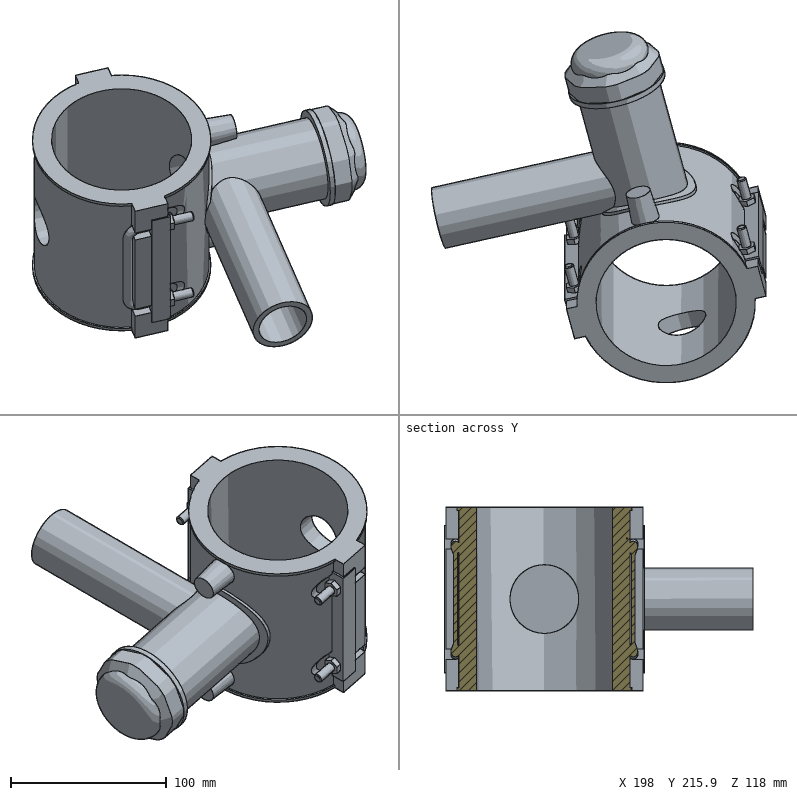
import cadquery as cq
import math


HEIGHT = 118.0
BODY_RADIUS = 56.1
BORE_RADIUS = 45.0
RIM_RADIUS = 57.2
RIM_HEIGHT = 2.2

EAR_REACH = 63.3
EAR_DEPTH = 11.0
PLATE_REACH = 64.1
PLATE_DEPTH = 12.3
PLATE_HEIGHT = 94.5

BOLT_X = 57.0
BOLT_Z = 35.5
BOLT_DIAMETER = 6.0
BOLT_RADIUS = BOLT_DIAMETER / 2
BOLT_TIP_Y = 29.8
BOLT_TIP_CHAMFER = 0.6
BOLT_BEND_RADIUS = 7.5
BOLT_BACK_Y = -(EAR_DEPTH + BOLT_RADIUS)
NUT_ACROSS_FLATS = 10.0
NUT_THICKNESS = 3.7
SLOT_WIDTH = 6.5

RECESS_X = 60.9
RECESS_RADIUS = 11.5
RECESS_FLOOR_RADIUS = 54.0
RECESS_TOP_Y = 32.4

BRANCH_DIAMETER = 53.5
BRANCH_BORE = 44.0
COLLAR_DIAMETER = 63.0
COLLAR_OUTER_RADIUS = 58.0
WALL_HOLE = 31.3

OUTLET_DIAMETER = 40.0
OUTLET_BORE = 32.0
OUTLET_Y = 65.9
OUTLET_END_X = 133.9

CAP_FLANGE_DIAMETER = 63.0
CAP_START_Y = 130.5
CAP_FLANGE_TOP_Y = 133.9
CAP_GRIP_TOP_Y = 145.3
CAP_TOP_Y = 158.7
CAP_GRIP_DIAMETER = 62.2
CAP_FLAT_COUNT = 8
CAP_FLAT_DISTANCE = 30.0
CAP_FLAT_TAPER = 46.5
CAP_CORNER_TAPER = 45.0
CAP_TAPER_HEIGHT = 6.5
DOME_RADIUS = 25.5
DOME_FILLET = 8.5

PEG_Z = 47.0
PEG_TIP_Y = 75.1
PEG_TIP_DIAMETER = 15.8
PEG_BASE_DIAMETER = 18.1
PEG_ROOT_Y = (BORE_RADIUS + BODY_RADIUS) / 2


def rod_y(diameter, y_start, y_end, x=0.0, z=0.0):
    """Cylinder along +Y."""
    plane = cq.Workplane("XZ", origin=(x, y_start, z))
    return plane.circle(diameter / 2).extrude(y_start - y_end)


def rod_z(radius, height):
    """Cylinder along Z, centred on the clamp axis."""
    return cq.Workplane("XY").circle(radius).extrude(height / 2, both=True)


def clamp_body():
    """Solid body with end rims, full-height ears and a plate over the front ears."""
    body = rod_z(BODY_RADIUS, HEIGHT)
    rim_z = (HEIGHT - RIM_HEIGHT) / 2
    for z in (-rim_z, rim_z):
        body = body.union(rod_z(RIM_RADIUS, RIM_HEIGHT).translate((0, 0, z)))
    body = body.union(cq.Workplane("XY").box(2 * EAR_REACH, 2 * EAR_DEPTH, HEIGHT))
    plate = cq.Workplane("XY").box(2 * PLATE_REACH, PLATE_DEPTH, PLATE_HEIGHT)
    return body.union(plate.translate((0, PLATE_DEPTH / 2, 0)))


def bolt_slot(side, z):
    """Slot through the rear ear, open to the outside and rounded around the bolt."""
    length = EAR_REACH - BOLT_X
    channel = cq.Workplane("XY").box(length, EAR_DEPTH, SLOT_WIDTH)
    channel = channel.translate((side * (BOLT_X + length / 2), -EAR_DEPTH / 2, z))
    return channel.union(rod_y(SLOT_WIDTH, -EAR_DEPTH, 0, side * BOLT_X, z))


def nut_recess(side, z):
    """Round pocket with a floor concentric with the bore."""
    pocket = rod_y(2 * RECESS_RADIUS, PLATE_DEPTH, RECESS_TOP_Y, side * RECESS_X, z)
    return pocket.cut(rod_z(RECESS_FLOOR_RADIUS, HEIGHT))


def u_bolt(side):
    """Two straight legs along Y joined by a straight back along Z."""
    bend_y = BOLT_BACK_Y + BOLT_BEND_RADIUS
    bend_z = BOLT_Z - BOLT_BEND_RADIUS
    offset = BOLT_BEND_RADIUS * math.sqrt(0.5)
    path = (
        cq.Workplane("YZ", origin=(side * BOLT_X, 0, 0))
        .moveTo(BOLT_TIP_Y, BOLT_Z)
        .lineTo(bend_y, BOLT_Z)
        .threePointArc((bend_y - offset, bend_z + offset), (BOLT_BACK_Y, bend_z))
        .lineTo(BOLT_BACK_Y, -bend_z)
        .threePointArc((bend_y - offset, -bend_z - offset), (bend_y, -BOLT_Z))
        .lineTo(BOLT_TIP_Y, -BOLT_Z)
    )
    profile = cq.Workplane("XZ", origin=(side * BOLT_X, BOLT_TIP_Y, BOLT_Z)).circle(BOLT_RADIUS)
    return profile.sweep(path).faces(">Y").chamfer(BOLT_TIP_CHAMFER)


def nut(side, z):
    """Hexagonal nut with two flats facing along X."""
    across_corners = NUT_ACROSS_FLATS / math.cos(math.pi / 6)
    plane = cq.Workplane("XZ", origin=(side * BOLT_X, PLATE_DEPTH, z))
    hexagon = plane.transformed(rotate=(0, 0, 90)).polygon(6, across_corners)
    return hexagon.extrude(-NUT_THICKNESS)


def branch():
    """Solid branch pipe with a thin collar that follows the body."""
    pipe = rod_y(BRANCH_DIAMETER, 0, CAP_START_Y)
    collar = rod_y(COLLAR_DIAMETER, 0, COLLAR_OUTER_RADIUS)
    return pipe.union(collar.intersect(rod_z(COLLAR_OUTER_RADIUS, HEIGHT)))


def outlet(diameter):
    """Cylinder along X from the branch axis to the outlet end."""
    return cq.Workplane("YZ", origin=(0, OUTLET_Y, 0)).circle(diameter / 2).extrude(OUTLET_END_X)


def peg(z):
    """Cone along +Y, rooted inside the body wall."""
    length = PEG_TIP_Y - BODY_RADIUS
    taper = math.degrees(math.atan((PEG_BASE_DIAMETER - PEG_TIP_DIAMETER) / 2 / length))
    plane = cq.Workplane("XZ", origin=(0, PEG_TIP_Y, z))
    return plane.circle(PEG_TIP_DIAMETER / 2).extrude(PEG_TIP_Y - PEG_ROOT_Y, taper=-taper)


def cap():
    """Flange, eight-sided grip with rounded corners, tapered shoulder and domed top."""
    flange = rod_y(CAP_FLANGE_DIAMETER, CAP_START_Y, CAP_FLANGE_TOP_Y)
    half_side = math.pi / CAP_FLAT_COUNT
    corner_diameter = 2 * CAP_FLAT_DISTANCE / math.cos(half_side)

    def grip_part(y, height, flat_taper=0, corner_taper=0):
        plane = cq.Workplane("XY")
        prism = plane.polygon(CAP_FLAT_COUNT, corner_diameter).extrude(height, taper=flat_taper)
        cylinder = plane.circle(CAP_GRIP_DIAMETER / 2).extrude(height, taper=corner_taper)
        return prism.intersect(cylinder).rotate((0, 0, 0), (1, 0, 0), -90).translate((0, y, 0))

    grip = grip_part(CAP_FLANGE_TOP_Y, CAP_GRIP_TOP_Y - CAP_FLANGE_TOP_Y)
    shoulder = grip_part(CAP_GRIP_TOP_Y, CAP_TAPER_HEIGHT, CAP_FLAT_TAPER, CAP_CORNER_TAPER)
    dome = rod_y(2 * DOME_RADIUS, CAP_FLANGE_TOP_Y, CAP_TOP_Y).faces(">Y").edges().fillet(DOME_FILLET)
    return flange.union(grip).union(shoulder).union(dome)


result = clamp_body().union(branch()).union(outlet(OUTLET_DIAMETER))
for peg_z in (-PEG_Z, PEG_Z):
    result = result.union(peg(peg_z))
for side in (-1, 1):
    for bolt_z in (-BOLT_Z, BOLT_Z):
        result = result.cut(bolt_slot(side, bolt_z)).cut(nut_recess(side, bolt_z))

result = result.cut(rod_z(BORE_RADIUS, HEIGHT))
result = result.cut(rod_y(WALL_HOLE, -RIM_RADIUS, 0))
result = result.cut(rod_y(BRANCH_BORE, 0, CAP_START_Y))
result = result.cut(outlet(OUTLET_BORE))

result = result.union(cap())
for side in (-1, 1):
    result = result.union(u_bolt(side))
    for bolt_z in (-BOLT_Z, BOLT_Z):
        result = result.union(nut(side, bolt_z))